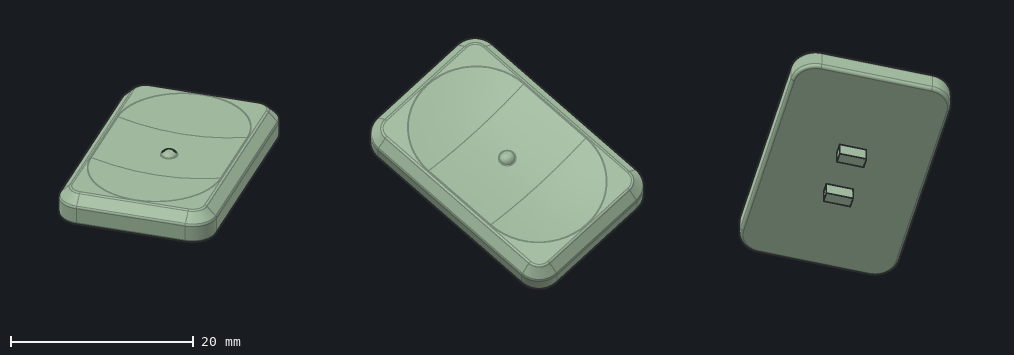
import cadquery as cq

WIDTH = 18.0
LENGTH = 27.5
TOTAL_HEIGHT = 5.15
LEG_HEIGHT = 1.6
PLATE_HEIGHT = TOTAL_HEIGHT - LEG_HEIGHT
CORNER_RADIUS = 2.75
TOP_CHAMFER = 1.25
EDGE_FILLET = 0.38

DISH_RADIUS = 7.48
DISH_LENGTH = 24.48
DISH_DEPTH = 0.9
DISH_STRAIGHT = DISH_LENGTH - 2 * DISH_RADIUS

BUTTON_SPHERE_RADIUS = 1.0
BUTTON_HEIGHT = 0.55
BUTTON_FOOT_FILLET = 0.15

LEG_WIDTH = 3.02
LEG_THICKNESS = 1.2
LEG_SPACING = 5.78

EDGE_MARGIN = 0.03


def cap_radius(half_chord, sagitta):
    """Radius of the arc that rises by the sagitta over the half chord."""
    return (half_chord**2 + sagitta**2) / (2 * sagitta)


def make_plate():
    """Rounded plate, top edge chamfered, every horizontal outer edge softened."""
    plate = (
        cq.Workplane("XY")
        .rect(WIDTH, LENGTH)
        .extrude(PLATE_HEIGHT)
        .edges("|Z")
        .fillet(CORNER_RADIUS)
        .faces(">Z")
        .chamfer(TOP_CHAMFER)
    )
    shoulder = plate.faces(">Z").edges().vals()
    chamfer_foot_height = PLATE_HEIGHT - TOP_CHAMFER
    foot_box = cq.selectors.BoxSelector(
        (-WIDTH, -LENGTH, chamfer_foot_height - EDGE_MARGIN),
        (WIDTH, LENGTH, chamfer_foot_height + EDGE_MARGIN),
        boundingbox=True,
    )
    foot = plate.edges(foot_box).vals()
    bottom = plate.faces("<Z").edges().vals()
    return plate.newObject(shoulder + foot + bottom).fillet(EDGE_FILLET)


def make_dish():
    """Cylindrical trough closed by a spherical cap at each end."""
    radius = cap_radius(DISH_RADIUS, DISH_DEPTH)
    floor_height = PLATE_HEIGHT - DISH_DEPTH
    profile = (
        cq.Workplane("XZ")
        .moveTo(0, floor_height)
        .radiusArc((DISH_RADIUS, PLATE_HEIGHT), -radius)
        .lineTo(0, PLATE_HEIGHT)
        .close()
    )
    cap = profile.revolve(360, (0, 0), (0, 1))
    trough = (
        cq.Workplane("XZ")
        .moveTo(-DISH_RADIUS, PLATE_HEIGHT)
        .threePointArc((0, floor_height), (DISH_RADIUS, PLATE_HEIGHT))
        .close()
        .extrude(DISH_STRAIGHT / 2, both=True)
    )
    for side in (-1, 1):
        trough = trough.union(cap.translate((0, side * DISH_STRAIGHT / 2, 0)))
    return trough


def soften_rim(dished_plate):
    """Round the sharp edge where the dish meets the flat top face."""
    rim = dished_plate.faces(">Z").wires().vals()
    inner_rim = min(rim, key=lambda wire: wire.BoundingBox().ylen)
    return dished_plate.newObject(inner_rim.Edges()).fillet(EDGE_FILLET)


def add_button(dished_plate):
    """Spherical button rising from the middle of the dish, blended into the floor."""
    floor_height = PLATE_HEIGHT - DISH_DEPTH
    centre_height = floor_height + BUTTON_HEIGHT - BUTTON_SPHERE_RADIUS
    sphere = cq.Workplane("XY").sphere(BUTTON_SPHERE_RADIUS).translate((0, 0, centre_height))
    foot_zone = cq.selectors.BoxSelector(
        (-BUTTON_SPHERE_RADIUS, -BUTTON_SPHERE_RADIUS, floor_height - EDGE_MARGIN),
        (BUTTON_SPHERE_RADIUS, BUTTON_SPHERE_RADIUS, floor_height + BUTTON_HEIGHT / 2),
        boundingbox=True,
    )
    return dished_plate.union(sphere).edges(foot_zone).fillet(BUTTON_FOOT_FILLET)


def make_legs():
    """Two equal legs spaced evenly about the middle of the underside."""
    return (
        cq.Workplane("XY")
        .pushPoints([(0, -LEG_SPACING / 2), (0, LEG_SPACING / 2)])
        .rect(LEG_WIDTH, LEG_THICKNESS)
        .extrude(-LEG_HEIGHT)
    )


dished_plate = soften_rim(make_plate().cut(make_dish()))
result = add_button(dished_plate).union(make_legs())